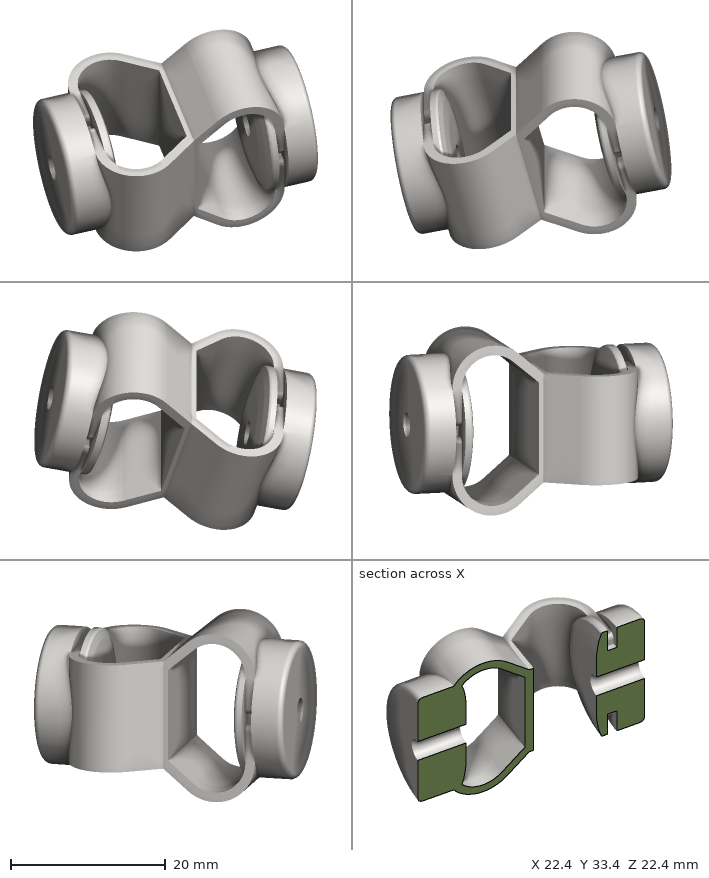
import cadquery as cq
import math

length = 33.4
web_y = 0.3

band_width = 14.3
band_thickness = 1.27
web_thickness = 1.3
loop_width = 22.35
bend_radius = 5.48
bend_offset = loop_width / 2 - bend_radius
inner_bend_radius = bend_radius - band_thickness

slit_width = 1.5
slit_corner_radius = 0.8

pad_radius = 9.02
pad_height = 4.15
pad_edge_radius = 0.75
bore_radius = 1.585

neck_radius = 5.55
cap_rim_height = 0.7
cap_edge_radius = 0.37
cap_shoulder_radius = 7.65
cap_shoulder_height = 1.4
cap_flat_radius = 5.15
cap_height = 1.7
cap_dome_bulge = 0.085

pad_face = length / 2
seat = pad_face - pad_height
inner_seat = seat - band_thickness


def loop_prism(depth, radius, corner_x, corner_y):
    """Solid loop section across the band; straight sides run from the corners, tangent to the bends."""
    center_y = -(depth - bend_radius)
    dx = corner_x - bend_offset
    dy = corner_y - center_y
    angle = math.atan2(dy, dx) - math.acos(radius / math.hypot(dx, dy))
    tangent_x = bend_offset + radius * math.cos(angle)
    tangent_y = center_y + radius * math.sin(angle)
    middle = (angle - math.pi / 2) / 2
    middle_x = bend_offset + radius * math.cos(middle)
    middle_y = center_y + radius * math.sin(middle)
    flat_y = center_y - radius
    return (
        cq.Workplane("XY")
        .moveTo(corner_x, corner_y)
        .lineTo(tangent_x, tangent_y)
        .threePointArc((middle_x, middle_y), (bend_offset, flat_y))
        .lineTo(-bend_offset, flat_y)
        .threePointArc((-middle_x, middle_y), (-tangent_x, tangent_y))
        .lineTo(-corner_x, corner_y)
        .close()
        .extrude(band_width / 2, both=True)
    )


def inner_corner_x(depth):
    """Half width of the opening at the web, one band thickness inside the straight sides."""
    dx = band_width / 2 - bend_offset
    dy = depth - bend_radius
    angle = math.atan2(dy, dx) - math.acos(bend_radius / math.hypot(dx, dy))
    reach = inner_bend_radius - (dy - web_thickness / 2) * math.sin(angle)
    return bend_offset + reach / math.cos(angle)


def slit(depth):
    """Gap through the flat of the band, flared at both edges by the rounded band ends."""
    half_slit = slit_width / 2
    half_mouth = half_slit + slit_corner_radius
    half_width = band_width / 2
    shoulder = half_width - slit_corner_radius
    quarter = (
        cq.Workplane("XZ", origin=(0, -depth + band_thickness, 0))
        .lineTo(half_slit, 0)
        .lineTo(half_slit, shoulder)
        .radiusArc((half_mouth, half_width), slit_corner_radius)
        .lineTo(0, half_width)
        .close()
        .extrude(band_thickness)
    )
    half = quarter.union(quarter.mirror("YZ"))
    return half.union(half.mirror("XY"))


def cylinder(radius, y_from, y_to):
    """Round bar along Y."""
    return cq.Workplane("XZ", origin=(0, y_to, 0)).circle(radius).extrude(y_to - y_from)


def cap():
    """Domed cap seated on the inner flat of the band."""
    rim_y = -inner_seat + cap_rim_height
    shoulder_y = -inner_seat + cap_shoulder_height
    top_y = -inner_seat + cap_height
    edge_y = rim_y + cap_edge_radius
    dome_middle = (
        (cap_shoulder_radius + cap_flat_radius) / 2,
        (shoulder_y + top_y) / 2 + cap_dome_bulge,
    )
    return (
        cq.Workplane("XY")
        .moveTo(0, -inner_seat)
        .lineTo(pad_radius, -inner_seat)
        .lineTo(pad_radius, rim_y)
        .radiusArc((pad_radius - cap_edge_radius, edge_y), -cap_edge_radius)
        .lineTo(cap_shoulder_radius, shoulder_y)
        .threePointArc(dome_middle, (cap_flat_radius, top_y))
        .lineTo(0, top_y)
        .close()
        .revolve(360, (0, 0, 0), (0, 1, 0))
    )


def pad(loop_solid):
    """Round pad whose back follows the outside of the bends across the width of the band."""
    disc = cylinder(pad_radius, -pad_face, -seat).faces("<Y").edges().fillet(pad_edge_radius)
    saddle = cylinder(pad_radius, -seat, -seat + bend_radius)
    band_slab = cq.Workplane("XY").box(length, length, band_width)
    saddle = saddle.intersect(band_slab).cut(loop_solid)
    return disc.union(saddle)


def clip(web_center):
    """Loop with its pad on the -Y side; web_center is the Y of the web mid-plane."""
    depth = seat + web_center
    outside = loop_prism(depth, bend_radius, band_width / 2, 0)
    opening = loop_prism(depth, inner_bend_radius, inner_corner_x(depth), -web_thickness / 2)
    band = outside.cut(opening).cut(slit(depth))
    lift = (0, web_center, 0)
    neck = cylinder(neck_radius, -seat, -inner_seat)
    body = band.translate(lift).union(neck).union(pad(outside.translate(lift))).union(cap())
    return body.cut(cylinder(bore_radius, -pad_face, -inner_seat + cap_height))


front_clip = clip(web_y)
rear_clip = clip(-web_y).rotate((0, 0, 0), (0, 0, 1), 180).rotate((0, 0, 0), (0, 1, 0), 90)
result = front_clip.union(rear_clip)